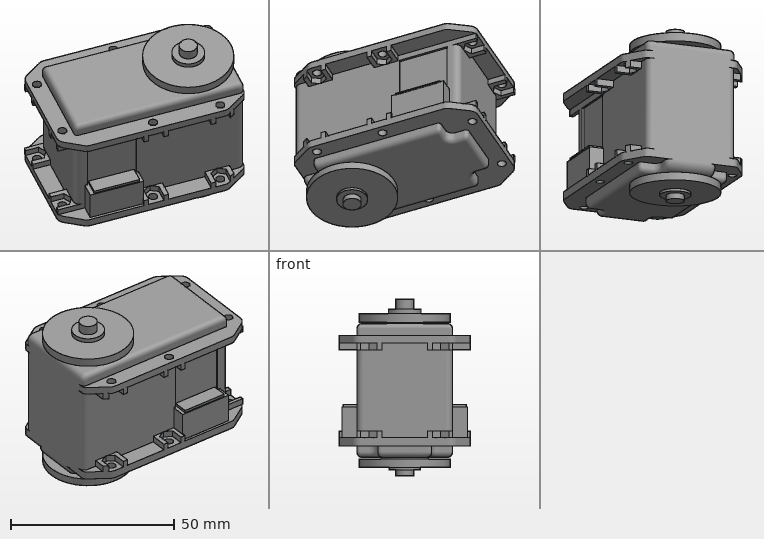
import cadquery as cq
import math


case_width = 29.3
case_front = 5.65
case_back = 61.05
case_corner = 2.05
cap_corner = 1.05
cap_edge = 1.6
top_cap_back_edge = 2.05
bottom_cap_back_edge = 3.2
case_top = 46.65
case_bottom = 5.65
case_side = case_width / 2

relief_depth = 6.4
relief_corner = 2.4

flange_width = 40.2
flange_cut_x = 5.1
flange_cut_y = 7.5
flange_corner = 3.1
flange_back_corner = 1.85
upper_flange_bottom = 40.6
upper_flange_top = 43.05
lower_flange_bottom = 9.05
lower_flange_top = 11.7
flange_side = flange_width / 2

hole_diameter = 2.75
hole_inset = 2.8
side_hole_places = (30.1, 52.1)
front_hole_offset = 11.0
pad_width = 8.1
pad_height = 2.05
front_pad_back = 8.1
nut_flats = 4.95
upper_pad_bottom = upper_flange_bottom - pad_height
nut_corners = nut_flats / math.cos(math.radians(30))

recess_front = 9.6
recess_back = 25.7
recess_depth = 0.6
recess_bottom = lower_flange_top + pad_height
recess_top = upper_pad_bottom
connector_side = 19.25
connector_front = 8.8
connector_back = 26.3
connector_top = 21.1
lip_inset_x = 0.4
lip_inset_front = 1.4
lip_inset_back = 1.2
lip_height = 0.8

overall_length = 62.1
overall_height = 54.1
disc_radius = 14.0
shaft_radius = 2.8
shaft_y = overall_length - disc_radius
upper_seat_radius = 5.6
upper_disc_bottom = 47.0
upper_disc_top = 49.7
upper_collar_radius = 5.0
upper_collar_top = 51.05
lower_seat_radius = 7.3
lower_disc_top = 5.1
lower_disc_bottom = 2.6
lower_collar_radius = 4.8
lower_collar_bottom = 1.8

upper_stack = (
    (upper_seat_radius, case_top, upper_disc_bottom),
    (disc_radius, upper_disc_bottom, upper_disc_top),
    (upper_collar_radius, upper_disc_top, upper_collar_top),
    (shaft_radius, upper_collar_top, overall_height),
)
lower_stack = (
    (shaft_radius, 0, lower_collar_bottom),
    (lower_collar_radius, lower_collar_bottom, lower_disc_bottom),
    (disc_radius, lower_disc_bottom, lower_disc_top),
    (lower_seat_radius, lower_disc_top, case_bottom),
)


def block(x_min, x_max, y_min, y_max, z_min, z_max):
    """Box given by its limits."""
    size = (x_max - x_min, y_max - y_min, z_max - z_min)
    return cq.Workplane("XY").box(*size, centered=False).translate((x_min, y_min, z_min))


def case_block(z_min, z_max):
    return block(-case_side, case_side, case_front, case_back, z_min, z_max)


def top_cap():
    cap = case_block(upper_flange_top, case_top)
    cap = cap.faces(">Z").edges(">Y").fillet(top_cap_back_edge)
    cap = cap.faces(">Z").edges("<X or >X or <Y").fillet(cap_edge)
    return cap.edges("|Z").fillet(cap_corner)


def corner_relief(x_sign, y):
    """Square cut with a round inner corner, centred on a corner of the case."""
    side = 2 * relief_depth
    relief = cq.Workplane("XY").box(side, side, lower_flange_bottom, centered=(True, True, False))
    return relief.edges("|Z").fillet(relief_corner).translate((x_sign * case_side, y, 0))


def bottom_cap():
    cap = case_block(case_bottom, lower_flange_bottom)
    for x_sign in (-1, 1):
        for y in (case_front, case_back):
            cap = cap.cut(corner_relief(x_sign, y))
    cap = cap.faces("<Z").edges(">Y").fillet(bottom_cap_back_edge)
    cap = cap.faces("<Z").edges("not >Y").fillet(cap_edge)
    return cap.edges("|Z").edges("<X or >X or <Y").fillet(cap_corner)


def main_case():
    case = case_block(lower_flange_bottom, upper_flange_top).edges("|Z").fillet(case_corner)
    for x_sign in (-1, 1):
        recess = block(-recess_depth, recess_depth, recess_front, recess_back, recess_bottom, recess_top)
        case = case.cut(recess.translate((x_sign * case_side, 0, 0)))
    return case


def flange_prism(z_min, z_max):
    """Plate with the cut-corner outline shared by the flanges and the pads on them."""
    right_side = [
        (flange_side - flange_cut_x, 0),
        (flange_side, flange_cut_y),
        (flange_side, case_back - flange_cut_y),
        (flange_side - flange_cut_x, case_back),
    ]
    left_side = [(-x, y) for x, y in reversed(right_side)]
    plate = cq.Workplane("XY", origin=(0, 0, z_min)).polyline(right_side + left_side).close()
    plate = plate.extrude(z_max - z_min)
    plate = plate.edges("|Z").edges(">Y").fillet(flange_back_corner)
    return plate.edges("|Z").edges("<Y or <X or >X").fillet(flange_corner)


def at_screws(shape):
    """Copies of a shape made for a screw at the origin whose rim lies toward -Y."""
    copies = []
    for x_sign in (-1, 1):
        copies.append(shape.translate((x_sign * front_hole_offset, hole_inset, 0)))
        turned = shape.rotate((0, 0, 0), (0, 0, 1), x_sign * 90)
        for y in side_hole_places:
            copies.append(turned.translate((x_sign * (flange_side - hole_inset), y, 0)))
    return copies


def flange_with_pads(plate_bottom, plate_top, pad_bottom):
    """Flange plate plus the screw pads, which run into the case."""
    pad_top = pad_bottom + pad_height
    half_pad = pad_width / 2
    flange = flange_prism(plate_bottom, plate_top)
    outline = flange_prism(pad_bottom, pad_top)
    for y in side_hole_places:
        pads = block(-flange_side, flange_side, y - half_pad, y + half_pad, pad_bottom, pad_top)
        flange = flange.union(pads.intersect(outline))
    front_pads = block(-case_side, case_side, 0, front_pad_back, pad_bottom, pad_top)
    pad_inner_side = front_hole_offset - half_pad
    gap = block(-pad_inner_side, pad_inner_side, 0, front_pad_back, pad_bottom, pad_top)
    return flange.union(front_pads.cut(gap))


def nut_pocket(pad_bottom):
    """Hexagon with a corner pointing inward, open straight out to the rim."""
    pocket = cq.Workplane("XY", origin=(0, 0, pad_bottom)).polygon(6, nut_corners).extrude(pad_height)
    pocket = pocket.rotate((0, 0, 0), (0, 0, 1), 30)
    half_flats = nut_flats / 2
    return pocket.union(block(-half_flats, half_flats, -hole_inset, 0, pad_bottom, pad_bottom + pad_height))


def connectors():
    """Connector bodies on both sides, each with a thin lip on top."""
    side = connector_side
    body = block(-side, side, connector_front, connector_back, lower_flange_top, connector_top)
    lip_side = side - lip_inset_x
    lip_front = connector_front + lip_inset_front
    lip_back = connector_back - lip_inset_back
    lip = block(-lip_side, lip_side, lip_front, lip_back, connector_top, connector_top + lip_height)
    return body.union(lip)


def shaft_stack(stack):
    discs = cq.Workplane("XY")
    for radius, bottom, top in stack:
        disc = cq.Workplane("XY", origin=(0, shaft_y, bottom)).circle(radius).extrude(top - bottom)
        discs = discs.union(disc)
    return discs


upper_flange = flange_with_pads(upper_flange_bottom, upper_flange_top, upper_pad_bottom)
lower_flange = flange_with_pads(lower_flange_bottom, lower_flange_top, lower_flange_top)

result = main_case()
for feature in (
    top_cap(),
    bottom_cap(),
    upper_flange,
    lower_flange,
    connectors(),
    shaft_stack(upper_stack),
    shaft_stack(lower_stack),
):
    result = result.union(feature)

screw_hole = cq.Workplane("XY").circle(hole_diameter / 2).extrude(overall_height)
for cutter in (nut_pocket(upper_pad_bottom), nut_pocket(lower_flange_top), screw_hole):
    for copy in at_screws(cutter):
        result = result.cut(copy)